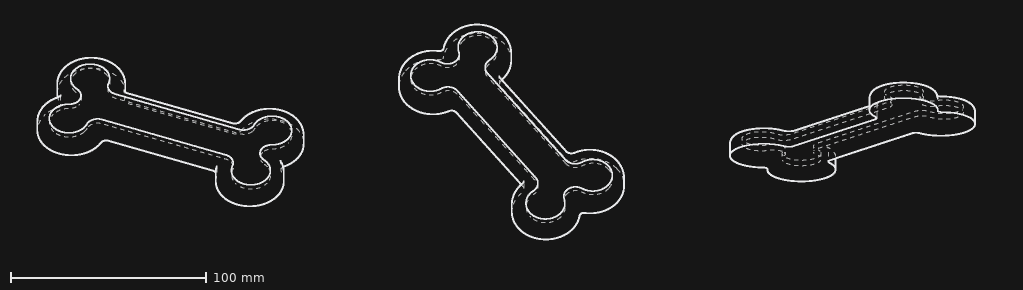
import cadquery as cq
import math

THICKNESS = 9.5
EDGE_ROUND = 3.0

INLAY_DEPTH = 3.0


def place(point, side_x, side_y):
    """Mirror a point of the right upper quarter into the quarter with the given signs."""
    return (side_x * point[0], side_y * point[1])


def bone_profile(lobe_x, lobe_y, lobe_radius, shaft_half_width, shaft_fillet, notch_fillet):
    """Closed bone outline: four lobes, a straight shaft and a rounded notch at each end.

    The lobe centres lie at (+-lobe_x, +-lobe_y). Every fillet is tangent to its neighbours.
    """
    shaft_reach = lobe_radius + shaft_fillet
    fillet_y = shaft_half_width + shaft_fillet
    fillet_x = lobe_x - math.sqrt(shaft_reach**2 - (lobe_y - fillet_y) ** 2)

    notch_reach = lobe_radius + notch_fillet
    notch_x = lobe_x + math.sqrt(notch_reach**2 - lobe_y**2)

    shaft_share = lobe_radius / shaft_reach
    lobe_inner = (
        lobe_x + (fillet_x - lobe_x) * shaft_share,
        lobe_y + (fillet_y - lobe_y) * shaft_share,
    )
    notch_share = lobe_radius / notch_reach
    lobe_outer = (lobe_x + (notch_x - lobe_x) * notch_share, lobe_y * (1 - notch_share))

    toward_lobe = math.atan2(lobe_inner[1] - fillet_y, lobe_inner[0] - fillet_x)
    middle_angle = (toward_lobe - math.pi / 2) / 2
    fillet_middle = (
        fillet_x + shaft_fillet * math.cos(middle_angle),
        fillet_y + shaft_fillet * math.sin(middle_angle),
    )
    lobe_top = (lobe_x, lobe_y + lobe_radius)
    shaft_end = (fillet_x, shaft_half_width)
    notch_bottom = (notch_x - notch_fillet, 0)

    outline = cq.Workplane("XY").moveTo(*place(shaft_end, -1, 1))
    for side in (1, -1):
        outline = (
            outline.lineTo(*place(shaft_end, side, side))
            .threePointArc(place(fillet_middle, side, side), place(lobe_inner, side, side))
            .threePointArc(place(lobe_top, side, side), place(lobe_outer, side, side))
            .threePointArc(place(notch_bottom, side, side), place(lobe_outer, side, -side))
            .threePointArc(place(lobe_top, side, -side), place(lobe_inner, side, -side))
            .threePointArc(place(fillet_middle, side, -side), place(shaft_end, side, -side))
        )
    return outline.close()


def make_inlay():
    """Plain bone-shaped plate whose top is level with the top of the bone."""
    profile = bone_profile(
        lobe_x=50.0,
        lobe_y=15.0,
        lobe_radius=10.0,
        shaft_half_width=9.5,
        shaft_fillet=6.0,
        notch_fillet=6.0,
    )
    return profile.extrude(INLAY_DEPTH).translate((0, 0, THICKNESS - INLAY_DEPTH))


def make_bone():
    """Bone with a rounded top edge and a pocket that the inlay fills."""
    profile = bone_profile(
        lobe_x=49.0,
        lobe_y=14.0,
        lobe_radius=17.5,
        shaft_half_width=14.0,
        shaft_fillet=3.0,
        notch_fillet=2.0,
    )
    blank = profile.extrude(THICKNESS).faces(">Z").edges().fillet(EDGE_ROUND)
    return blank.cut(make_inlay()).solids()


bone = make_bone()
inlay = make_inlay()

result = cq.Compound.makeCompound([bone.val(), inlay.val()])